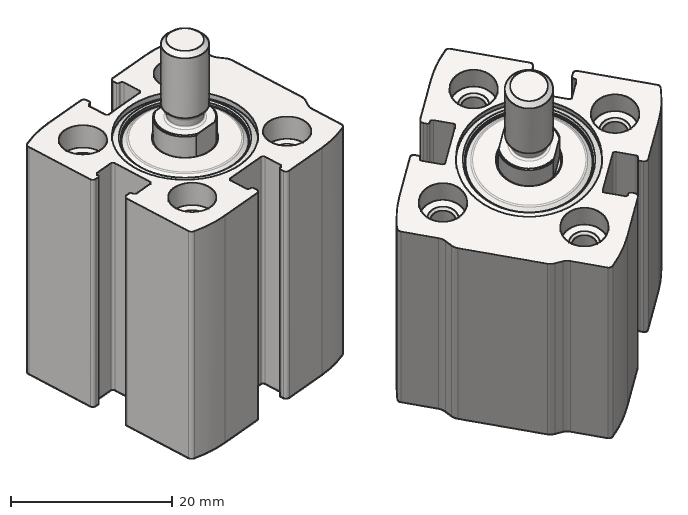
import cadquery as cq
import math

TOTAL_HEIGHT = 50.5
ROD_PROJECTION = 15.0
HOUSING_HEIGHT = TOTAL_HEIGHT - ROD_PROJECTION
HALF_WIDTH = 14.5

FLANK_HALF_LENGTH = 9.2
FLANK_BOW_RADIUS = 15.65
CORNER_RADIUS = 0.6
HUMP_RISE = 1.0
HUMP_TOP_HALF_WIDTH = 6.15
HUMP_BASE_HALF_WIDTH = 7.9
HUMP_BLEND_RADIUS = 1.75

SLOT_FLOOR_DISTANCE = 10.0
SLOT_HALF_WIDTH = 3.25
SLOT_MOUTH_HALF_WIDTH = 2.5
SLOT_LIP_DEPTH = 1.25
SLOT_MOUTH_RADIUS = 0.5
SLOT_INNER_RADIUS = 0.35
SLOT_LIP_RADIUS = 0.3
SLOT_ANGLES = (0, 180, 270)

MOUNT_HOLE_OFFSET = 9.0
MOUNT_HOLE_DIAMETER = 3.25
MOUNT_CHAMFER_DIAMETER = 3.95
COUNTERBORE_DIAMETER = 6.0
COUNTERBORE_DEPTH = 3.5

RECESS_RADIUS = 18.2 / 2
RECESS_DEPTH = 0.8
RIM_OUTER_RADIUS = 8.25
RIM_DEPTH = 0.3
BORE_RADIUS = 16.0 / 2
RIM_CHAMFER = RIM_OUTER_RADIUS - BORE_RADIUS
COVER_BEVEL_OUTER_RADIUS = 7.9
COVER_BEVEL_INNER_RADIUS = 7.15
COVER_BEVEL_ANGLE = 40.0
COVER_EDGE_RADIUS = 0.35

ROD_RADIUS = 8.0 / 2
ROD_COLLAR_HEIGHT = 3.0
ROD_EDGE_CHAMFER = 0.15
ROD_HOLE_DEPTH = 5.0
FLATS_WIDTH = 7.0
FLATS_DEPTH = 1.0
FLATS_RUNOUT_ANGLE = 30.0
NECK_RADIUS = 4.7 / 2
NECK_FILLET = 0.3
THREAD_RADIUS = 6.0 / 2
THREAD_START_HEIGHT = 5.0
THREAD_CHAMFER = THREAD_RADIUS - NECK_RADIUS


def fillet_upright_edge(body, x, y, radius):
    """Round the vertical edge of a full-height prism that stands at (x, y)."""
    place = (x, y, HOUSING_HEIGHT / 2)
    return body.edges(cq.selectors.NearestToPointSelector(place)).fillet(radius)


def revolved(profile):
    """Solid of revolution about Z from (radius, z) corner points."""
    return cq.Workplane("XZ").polyline(profile).close().revolve(360, (0, 0), (0, 1))


def housing_outline():
    """Bowed square with a low hump on its +Y side."""
    bow_angle = math.asin((HALF_WIDTH - FLANK_HALF_LENGTH) / FLANK_BOW_RADIUS)

    def bow_point(angle):
        x = HALF_WIDTH - FLANK_BOW_RADIUS * (1 - math.cos(angle))
        y = FLANK_HALF_LENGTH + FLANK_BOW_RADIUS * math.sin(angle)
        return x, y

    bow_mid_x, bow_mid_y = bow_point(bow_angle / 2)
    corner_x, _ = bow_point(bow_angle)
    body = (
        cq.Workplane("XY")
        .moveTo(HALF_WIDTH, -FLANK_HALF_LENGTH)
        .lineTo(HALF_WIDTH, FLANK_HALF_LENGTH)
        .threePointArc((bow_mid_x, bow_mid_y), (corner_x, HALF_WIDTH))
        .lineTo(-corner_x, HALF_WIDTH)
        .threePointArc((-bow_mid_x, bow_mid_y), (-HALF_WIDTH, FLANK_HALF_LENGTH))
        .lineTo(-HALF_WIDTH, -FLANK_HALF_LENGTH)
        .threePointArc((-bow_mid_x, -bow_mid_y), (-corner_x, -HALF_WIDTH))
        .lineTo(corner_x, -HALF_WIDTH)
        .threePointArc((bow_mid_x, -bow_mid_y), (HALF_WIDTH, -FLANK_HALF_LENGTH))
        .close()
        .extrude(HOUSING_HEIGHT)
    )
    for sign_x in (-1, 1):
        for sign_y in (-1, 1):
            body = fillet_upright_edge(body, sign_x * corner_x, sign_y * HALF_WIDTH, CORNER_RADIUS)
    return body.union(hump())


def hump():
    """Raised band on the +Y side with sloping ends that blend into the top and the side."""
    crest_y = HALF_WIDTH + HUMP_RISE
    shoulder = HUMP_BASE_HALF_WIDTH + HUMP_BLEND_RADIUS
    band = (
        cq.Workplane("XY")
        .polyline([
            (-HUMP_TOP_HALF_WIDTH, crest_y),
            (HUMP_TOP_HALF_WIDTH, crest_y),
            (HUMP_BASE_HALF_WIDTH, HALF_WIDTH),
            (shoulder, HALF_WIDTH),
            (shoulder, 0),
            (-shoulder, 0),
            (-shoulder, HALF_WIDTH),
            (-HUMP_BASE_HALF_WIDTH, HALF_WIDTH),
        ])
        .close()
        .extrude(HOUSING_HEIGHT)
    )
    for sign in (-1, 1):
        for bend_x, bend_y in ((HUMP_TOP_HALF_WIDTH, crest_y), (HUMP_BASE_HALF_WIDTH, HALF_WIDTH)):
            band = fillet_upright_edge(band, sign * bend_x, bend_y, HUMP_BLEND_RADIUS)
    return band


def slot_cutter():
    """T-slot that opens on the +X side, with rounded inner corners and flared mouth edges."""
    lip_x = HALF_WIDTH - SLOT_LIP_DEPTH
    cavity = (
        cq.Workplane("XY")
        .moveTo((SLOT_FLOOR_DISTANCE + lip_x) / 2, 0)
        .rect(lip_x - SLOT_FLOOR_DISTANCE, 2 * SLOT_HALF_WIDTH)
        .extrude(HOUSING_HEIGHT)
        .edges("|Z")
        .fillet(SLOT_INNER_RADIUS)
    )
    flare_x = HALF_WIDTH - SLOT_MOUTH_RADIUS
    flare_half_width = SLOT_MOUTH_HALF_WIDTH + SLOT_MOUTH_RADIUS
    arc_inset = SLOT_MOUTH_RADIUS * math.sqrt(0.5)
    arc_mid = (flare_x + arc_inset, flare_half_width - arc_inset)
    mouth = (
        cq.Workplane("XY")
        .moveTo(SLOT_FLOOR_DISTANCE + SLOT_INNER_RADIUS, -SLOT_MOUTH_HALF_WIDTH)
        .lineTo(flare_x, -SLOT_MOUTH_HALF_WIDTH)
        .threePointArc((arc_mid[0], -arc_mid[1]), (HALF_WIDTH, -flare_half_width))
        .lineTo(HALF_WIDTH, flare_half_width)
        .threePointArc(arc_mid, (flare_x, SLOT_MOUTH_HALF_WIDTH))
        .lineTo(SLOT_FLOOR_DISTANCE + SLOT_INNER_RADIUS, SLOT_MOUTH_HALF_WIDTH)
        .close()
        .extrude(HOUSING_HEIGHT)
    )
    cutter = cavity.union(mouth)
    for sign in (-1, 1):
        cutter = fillet_upright_edge(cutter, lip_x, sign * SLOT_MOUTH_HALF_WIDTH, SLOT_LIP_RADIUS)
    return cutter


def mount_hole_cutter():
    """Counterbored through hole with a chamfered edge at the counterbore floor."""
    floor_z = HOUSING_HEIGHT - COUNTERBORE_DEPTH
    hole_radius = MOUNT_HOLE_DIAMETER / 2
    chamfer_radius = MOUNT_CHAMFER_DIAMETER / 2
    counterbore_radius = COUNTERBORE_DIAMETER / 2
    return revolved([
        (0, 0),
        (hole_radius, 0),
        (hole_radius, floor_z - (chamfer_radius - hole_radius)),
        (chamfer_radius, floor_z),
        (counterbore_radius, floor_z),
        (counterbore_radius, HOUSING_HEIGHT),
        (0, HOUSING_HEIGHT),
    ])


def recess_cutter():
    """Shaped recess in the top face: sloping outer ring, narrow groove, bevelled cover, rod hole."""
    face_z = HOUSING_HEIGHT - RIM_DEPTH
    hole_floor_z = HOUSING_HEIGHT - ROD_HOLE_DEPTH
    bevel_slope = math.tan(math.radians(COVER_BEVEL_ANGLE))
    groove_z = face_z - (COVER_BEVEL_OUTER_RADIUS - COVER_BEVEL_INNER_RADIUS) * bevel_slope
    cutter = revolved([
        (0, HOUSING_HEIGHT),
        (RECESS_RADIUS, HOUSING_HEIGHT),
        (RECESS_RADIUS, HOUSING_HEIGHT - RECESS_DEPTH),
        (RIM_OUTER_RADIUS, face_z),
        (BORE_RADIUS, face_z - RIM_CHAMFER),
        (BORE_RADIUS, groove_z),
        (COVER_BEVEL_OUTER_RADIUS, groove_z),
        (COVER_BEVEL_INNER_RADIUS, face_z),
        (ROD_RADIUS + ROD_EDGE_CHAMFER, face_z),
        (ROD_RADIUS, face_z - ROD_EDGE_CHAMFER),
        (ROD_RADIUS, hole_floor_z),
        (0, hole_floor_z),
    ])
    cover_edge = cq.selectors.RadiusNthSelector(2)
    return cutter.edges(cover_edge).fillet(COVER_EDGE_RADIUS)


def make_housing():
    housing = housing_outline()
    slot = slot_cutter()
    for angle in SLOT_ANGLES:
        housing = housing.cut(slot.rotate((0, 0, 0), (0, 0, 1), angle))
    mount_hole = mount_hole_cutter()
    for sign_x in (-1, 1):
        for sign_y in (-1, 1):
            place = (sign_x * MOUNT_HOLE_OFFSET, sign_y * MOUNT_HOLE_OFFSET, 0)
            housing = housing.cut(mount_hole.translate(place))
    return housing.cut(recess_cutter())


def rod_turning():
    """Round rod: collar, filleted neck and chamfered thread cylinder."""
    collar_z = HOUSING_HEIGHT + ROD_COLLAR_HEIGHT
    thread_z = HOUSING_HEIGHT + THREAD_START_HEIGHT
    fillet_middle = NECK_FILLET * (1 - math.sqrt(0.5))
    fillet_turn = math.radians(45)
    fillet_tangent = NECK_FILLET * math.tan(fillet_turn / 2)
    neck_corner_z = thread_z - THREAD_CHAMFER
    upper_start_z = neck_corner_z - fillet_tangent
    upper_end = (
        NECK_RADIUS + fillet_tangent * math.sin(fillet_turn),
        neck_corner_z + fillet_tangent * math.cos(fillet_turn),
    )
    return (
        cq.Workplane("XZ")
        .moveTo(0, HOUSING_HEIGHT - ROD_HOLE_DEPTH)
        .lineTo(ROD_RADIUS, HOUSING_HEIGHT - ROD_HOLE_DEPTH)
        .lineTo(ROD_RADIUS, collar_z - ROD_EDGE_CHAMFER)
        .lineTo(ROD_RADIUS - ROD_EDGE_CHAMFER, collar_z)
        .lineTo(NECK_RADIUS + NECK_FILLET, collar_z)
        .threePointArc(
            (NECK_RADIUS + fillet_middle, collar_z + fillet_middle),
            (NECK_RADIUS, collar_z + NECK_FILLET),
        )
        .lineTo(NECK_RADIUS, upper_start_z)
        .tangentArcPoint(upper_end, relative=False)
        .lineTo(THREAD_RADIUS, thread_z)
        .lineTo(THREAD_RADIUS, TOTAL_HEIGHT - THREAD_CHAMFER)
        .lineTo(THREAD_RADIUS - THREAD_CHAMFER, TOTAL_HEIGHT)
        .lineTo(0, TOTAL_HEIGHT)
        .close()
        .revolve(360, (0, 0), (0, 1))
    )


def flat_cutter():
    """Wrench flat on the +X side that runs out through a slope at its lower end."""
    flat_x = FLATS_WIDTH / 2
    flat_bottom_z = HOUSING_HEIGHT - FLATS_DEPTH
    runout_drop = (ROD_RADIUS - flat_x) * math.tan(math.radians(FLATS_RUNOUT_ANGLE))
    collar_z = HOUSING_HEIGHT + ROD_COLLAR_HEIGHT
    return (
        cq.Workplane("XZ")
        .polyline([
            (flat_x, flat_bottom_z),
            (ROD_RADIUS, flat_bottom_z - runout_drop),
            (ROD_RADIUS, collar_z),
            (flat_x, collar_z),
        ])
        .close()
        .extrude(ROD_RADIUS, both=True)
    )


def make_rod():
    flat = flat_cutter()
    return rod_turning().cut(flat).cut(flat.mirror("YZ"))


housing = make_housing()
rod = make_rod()
result = cq.Compound.makeCompound([*housing.solids().vals(), *rod.solids().vals()])